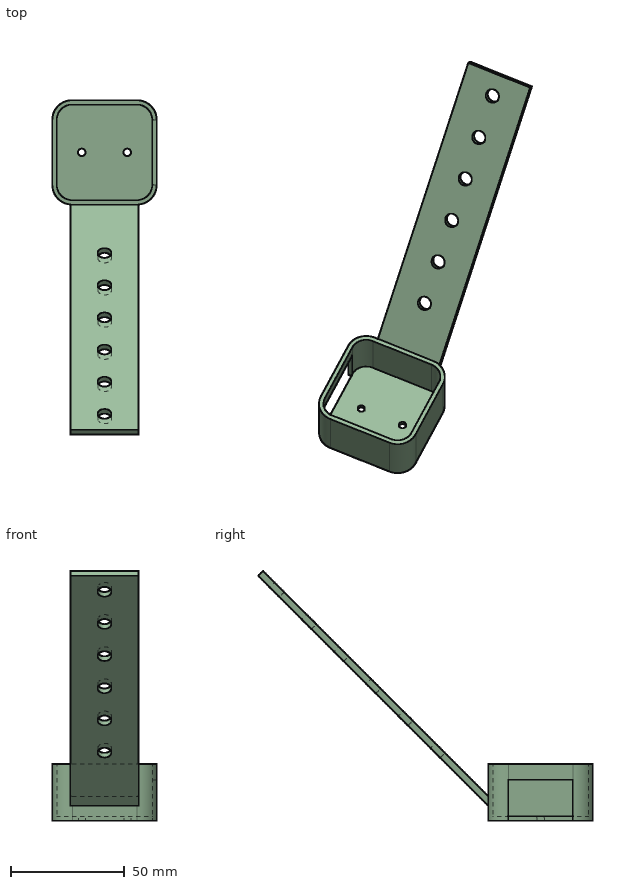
import cadquery as cq
import math

cup_side = 46.0
cup_height = 25.0
wall = 2.0
floor_thickness = 2.0
outer_corner_radius = 8.75
inner_corner_radius = outer_corner_radius - wall

screw_hole_diameter = 3.2
screw_hole_spacing = 20.0

window_width = cup_side - 2 * outer_corner_radius
window_top = 18.0

strap_width = 30.0
strap_thickness = 3.0
strap_angle = 45.0
strap_length = 143.0
strap_root_height = 6.61
strap_hole_diameter = 6.0
strap_hole_pitch = 20.0
strap_hole_count = 6
tip_to_first_hole = 10.0

cup_half = cup_side / 2
cavity_side = cup_side - 2 * wall


def rounded_block(side, height, corner_radius, base_z):
    """Square block with rounded vertical edges, standing on base_z."""
    block = cq.Workplane("XY").workplane(offset=base_z).rect(side, side).extrude(height)
    return block.edges("|Z").fillet(corner_radius)


def make_cavity():
    return rounded_block(cavity_side, cup_height - floor_thickness, inner_corner_radius, floor_thickness)


def make_screw_holes():
    half_spacing = screw_hole_spacing / 2
    return (
        cq.Workplane("XY")
        .pushPoints([(-half_spacing, 0), (half_spacing, 0)])
        .circle(screw_hole_diameter / 2)
        .extrude(floor_thickness)
    )


def make_window():
    """Block filling the window opening, through the wall thickness only so the floor stays whole."""
    block = cq.Workplane("XY").box(wall, window_width, window_top, centered=(False, True, False))
    return block.translate((cavity_side / 2, 0, 0))


def make_strap():
    """Strap built flat along -Y from the origin, then tilted up and moved to the wall."""
    root_overlap = (strap_thickness + wall) / math.cos(math.radians(strap_angle))
    blank = cq.Workplane("XY").box(
        strap_width, strap_length + root_overlap, strap_thickness, centered=(True, False, False)
    )
    strap = blank.translate((0, -strap_length, 0))
    hole_centres = [
        (0, -strap_length + tip_to_first_hole + i * strap_hole_pitch) for i in range(strap_hole_count)
    ]
    holes = (
        cq.Workplane("XY")
        .pushPoints(hole_centres)
        .circle(strap_hole_diameter / 2)
        .extrude(strap_thickness)
    )
    tilted = strap.cut(holes).rotate((0, 0, 0), (1, 0, 0), -strap_angle)
    return tilted.translate((0, -cup_half, strap_root_height))


cup = rounded_block(cup_side, cup_height, outer_corner_radius, 0)
result = cup.union(make_strap()).cut(make_cavity()).cut(make_screw_holes()).cut(make_window())